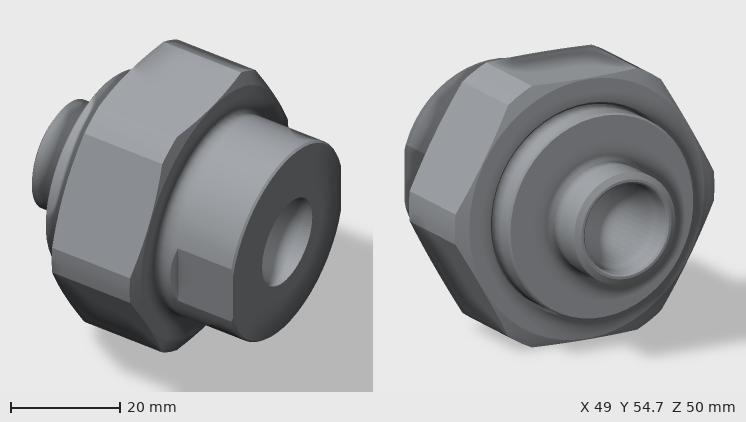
import cadquery as cq
import math


bore_radius = 17.3 / 2
total_length = 49.0

nut_start = 14.55
nut_end = 32.95
nut_across_flats = 50.0
nut_corner_radius = 54.7 / 2
nut_face_radius = 24.75
nut_chamfer_length = 0.8
nut_lip_length = 3.3
nut_lip_radius = 39.5 / 2
nut_lip_chamfer = 0.5
nut_bore_radius = 43.35 / 2

spigot_radius = 21.3 / 2
spigot_tip_radius = 9.45
spigot_chamfer_length = 0.65
bore_chamfer = 0.35
flange_start = 9.0
flange_radius = 39.15 / 2
flange_chamfer = 0.35
spigot_fillet = 1.05
collar_radius = 43.0 / 2
collar_start = nut_start + nut_lip_length
collar_length = 3.3
joint_face = collar_start + collar_length

adapter_radius = 39.15 / 2
neck_fillet = 0.9
end_chamfer_length = 0.45
end_chamfer_depth = 0.35
flat_distance = 18.6
flat_start = 37.1

arc_middle = math.sqrt(0.5)


def revolve_about_x(profile):
    """Turn a closed (axial, radial) profile around the X axis."""
    return profile.close().revolve(360, (0, 0, 0), (1, 0, 0))


def fillet_middle(axial_centre, radial_centre, radius, axial_side):
    """Middle point of a concave corner fillet; axial_side is the direction of the wall."""
    offset = radius * arc_middle
    return (axial_centre + axial_side * offset, radial_centre - offset)


def make_tailpiece():
    fillet_start = flange_start - spigot_fillet
    fillet_top = spigot_radius + spigot_fillet
    profile = (
        cq.Workplane("XY")
        .moveTo(0, bore_radius + bore_chamfer)
        .lineTo(0, spigot_tip_radius)
        .lineTo(spigot_chamfer_length, spigot_radius)
        .lineTo(fillet_start, spigot_radius)
        .threePointArc(
            fillet_middle(fillet_start, fillet_top, spigot_fillet, 1),
            (flange_start, fillet_top),
        )
        .lineTo(flange_start, flange_radius - flange_chamfer)
        .lineTo(flange_start + flange_chamfer, flange_radius)
        .lineTo(collar_start, flange_radius)
        .lineTo(collar_start, collar_radius)
        .lineTo(joint_face, collar_radius)
        .lineTo(joint_face, bore_radius)
        .lineTo(bore_chamfer, bore_radius)
    )
    return revolve_about_x(profile)


def make_nut():
    blank_profile = (
        cq.Workplane("XY")
        .moveTo(nut_start, nut_lip_radius + nut_lip_chamfer)
        .lineTo(nut_start, nut_face_radius)
        .lineTo(nut_start + nut_chamfer_length, nut_corner_radius)
        .lineTo(nut_end - nut_chamfer_length, nut_corner_radius)
        .lineTo(nut_end, nut_face_radius)
        .lineTo(nut_end, nut_bore_radius)
        .lineTo(collar_start, nut_bore_radius)
        .lineTo(collar_start, nut_lip_radius)
        .lineTo(nut_start + nut_lip_chamfer, nut_lip_radius)
    )
    across_corners = nut_across_flats / math.cos(math.pi / 6)
    hexagon = (
        cq.Workplane("YZ", origin=(nut_start, 0, 0))
        .polygon(6, across_corners)
        .extrude(nut_end - nut_start)
    )
    return revolve_about_x(blank_profile).intersect(hexagon)


def make_adapter():
    fillet_top = adapter_radius + neck_fillet
    fillet_end = nut_end + neck_fillet
    profile = (
        cq.Workplane("XY")
        .moveTo(joint_face, bore_radius)
        .lineTo(joint_face, nut_bore_radius)
        .lineTo(nut_end, nut_bore_radius)
        .lineTo(nut_end, fillet_top)
        .threePointArc(
            fillet_middle(fillet_end, fillet_top, neck_fillet, -1),
            (fillet_end, adapter_radius),
        )
        .lineTo(total_length - end_chamfer_length, adapter_radius)
        .lineTo(total_length, adapter_radius - end_chamfer_depth)
        .lineTo(total_length, bore_radius)
    )
    adapter = revolve_about_x(profile)
    for side in (-1, 1):
        adapter = adapter.cut(make_flat_cutter(side))
    return adapter


def make_flat_cutter(side):
    """Wedge-ended block that mills one wrench flat with a 45 degree run-out."""
    cut_depth = nut_bore_radius - flat_distance
    return (
        cq.Workplane("XY")
        .moveTo(flat_start, side * flat_distance)
        .lineTo(total_length, side * flat_distance)
        .lineTo(total_length, side * nut_bore_radius)
        .lineTo(flat_start - cut_depth, side * nut_bore_radius)
        .close()
        .extrude(adapter_radius, both=True)
    )


tailpiece = make_tailpiece()
nut = make_nut()
adapter = make_adapter()

result = cq.Compound.makeCompound([tailpiece.val(), nut.val(), adapter.val()])